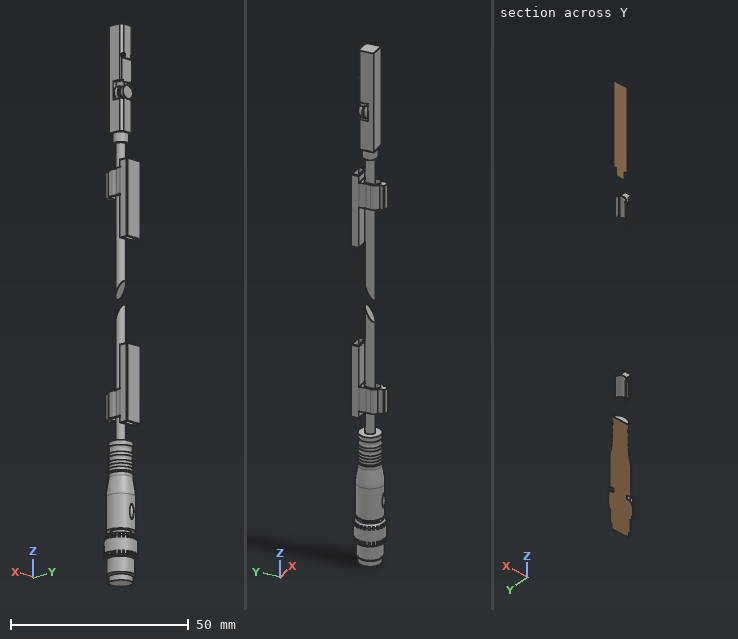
import cadquery as cq
import math


OVERALL_LENGTH = 162.9
CABLE_DIAMETER = 3.0
CABLE_CUT_DROP = 5.0

SENSOR_WIDTH = 5.0
SENSOR_LENGTH = 31.5
SENSOR_FRONT = 2.3
SENSOR_BACK = 2.6
BACK_CHAMFER_ACROSS = 1.0
BACK_CHAMFER_DEEP = 0.62
COLLAR_DIAMETER = 4.5
COLLAR_LENGTH = 3.0
SENSOR_CABLE_TIP = 83.0
BACK_RECESS_DEPTH = 0.3
BACK_RECESS_BOTTOM = 146.0
BACK_RECESS_TOP = 153.0
LAMP_DIAMETER = 1.0
LAMP_PROUD = 0.25
LAMP_SPACING = 3.5
LAMP_HEIGHT = 153.8
SCREW_HEAD_DIAMETER = 4.0
SCREW_GROOVE_DIAMETER = 3.5
SCREW_BASE_DIAMETER = 4.5
SCREW_GROOVE_WIDTH = 0.5
SCREW_GROOVE_BACK = 1.5
SCREW_HEIGHT = 143.2
SCREW_PROUD = 0.2
POCKET_BOTTOM = 141.0
POCKET_TOP = 146.5
POCKET_DEPTH = 1.1
POCKET_FLOOR = -0.5

CLIP_DEPTH = 10.3
SLEEVE_WIDTH = 5.4
SLEEVE_DEPTH = 3.0
SLEEVE_LENGTH = 22.8
SLEEVE_WALL = 0.5
SLEEVE_BEVEL_ACROSS = 0.2
SLEEVE_BEVEL_DEEP = 0.5
LOOP_HEIGHT = 7.8
LOOP_END_GAP = 2.1
LOOP_RADIUS = 2.5
LOOP_OFFSET = 1.5
BELLY_POINT_ANGLE = 20.0
LOOP_BORE = 3.5
WAIST_BACK = 0.3
WAIST_FRONT = -1.1
WAIST_HALF_WIDTH = 2.3
NOSE_WIDTH = 2.5
NOSE_BEVEL_ACROSS = 0.2
NOSE_BEVEL_DEEP = 0.5
SLIT_WIDTH = 0.5
SENSOR_CLIP_TOP = 123.0
PLUG_CLIP_BOTTOM = 46.1

PLUG_CABLE_TIP = 81.3
GRIP_TOP = 41.0
RIB_DIAMETER = 7.0
GROOVE_DEPTH_RATIO = 0.12
GROOVES = [(39.6, 37.6), (36.7, 35.2), (34.2, 33.2), (32.3, 31.8)]
GRIP_BOTTOM = 30.8
FLARE_START = (0.2, -1)
FLARE_END = (0, -1)
BODY_TOP = 25.2
BODY_BOTTOM = 15.0
BODY_DIAMETER = 8.5
NECK_DIAMETER = 5.9
RING_TOP = 13.8
RING_BOTTOM = 6.8
RING_DIAMETER = 9.6
RING_TOP_CHAMFER = 1.0
RING_BOTTOM_CHAMFER = 0.5
NOTCH_COUNT = 24
NOTCH_WIDTH = 0.5
NOTCH_DEPTH = 0.3
NOTCH_HEIGHT = 1.5
SHELL_DIAMETER = 8.0
SHELL_BOTTOM = 2.3
TIP_TOP = 1.8
TIP_DIAMETER = 7.0
MARK_WIDTH = 1.6
MARK_LENGTH = 5.4
MARK_HEIGHT = 20.2
MARK_REACH = 9.6


def box_between(x_range, y_range, z_range):
    """Box given by its lowest and highest X, Y and Z."""
    spans = [high - low for low, high in (x_range, y_range, z_range)]
    return cq.Workplane("XY").box(*spans, centered=False).translate((x_range[0], y_range[0], z_range[0]))


def rod_along_y(diameter, y_range, x, z):
    """Cylinder parallel to Y."""
    start, end = y_range
    return cq.Workplane("XZ", origin=(x, start, z)).circle(diameter / 2).extrude(start - end)


def cable(z_fixed, tip):
    """Cable from z_fixed to a slanted end; tip is the Z of the end's furthest point."""
    radius = CABLE_DIAMETER / 2
    if tip > z_fixed:
        end_back, end_front = tip, tip - CABLE_CUT_DROP
    else:
        end_back, end_front = tip + CABLE_CUT_DROP, tip
    rod = cq.Workplane("XY", origin=(0, 0, min(z_fixed, tip))).circle(radius).extrude(abs(tip - z_fixed))
    side_outline = [(radius, z_fixed), (radius, end_back), (-radius, end_front), (-radius, z_fixed)]
    keep = cq.Workplane("YZ").polyline(side_outline).close().extrude(radius, both=True)
    return rod.intersect(keep)


def make_sensor():
    half = SENSOR_WIDTH / 2
    bottom = OVERALL_LENGTH - SENSOR_LENGTH
    collar_bottom = bottom - COLLAR_LENGTH

    chamfer_start = SENSOR_BACK - BACK_CHAMFER_DEEP
    back_half = half - BACK_CHAMFER_ACROSS
    outline = [
        (-half, -SENSOR_FRONT),
        (half, -SENSOR_FRONT),
        (half, chamfer_start),
        (back_half, SENSOR_BACK),
        (-back_half, SENSOR_BACK),
        (-half, chamfer_start),
    ]
    bar = cq.Workplane("XY", origin=(0, 0, bottom)).polyline(outline).close().extrude(SENSOR_LENGTH)

    recess_y = (SENSOR_BACK - BACK_RECESS_DEPTH, SENSOR_BACK)
    bar = bar.cut(box_between((-half, half), recess_y, (BACK_RECESS_BOTTOM, BACK_RECESS_TOP)))

    for x_range in ((-half, -half + POCKET_DEPTH), (half - POCKET_DEPTH, half)):
        bar = bar.cut(box_between(x_range, (POCKET_FLOOR, SENSOR_BACK), (POCKET_BOTTOM, POCKET_TOP)))
    groove_front = SCREW_GROOVE_BACK - SCREW_GROOVE_WIDTH
    screw_back = SENSOR_BACK + SCREW_PROUD
    for diameter, y_range in (
        (SCREW_BASE_DIAMETER, (POCKET_FLOOR, groove_front)),
        (SCREW_GROOVE_DIAMETER, (groove_front, SCREW_GROOVE_BACK)),
        (SCREW_HEAD_DIAMETER, (SCREW_GROOVE_BACK, screw_back)),
    ):
        bar = bar.union(rod_along_y(diameter, y_range, 0, SCREW_HEIGHT))

    for x in (-LAMP_SPACING / 2, LAMP_SPACING / 2):
        bar = bar.union(rod_along_y(LAMP_DIAMETER, (0, SENSOR_BACK + LAMP_PROUD), x, LAMP_HEIGHT))

    collar = (
        cq.Workplane("XY", origin=(0, 0, collar_bottom))
        .circle(COLLAR_DIAMETER / 2)
        .extrude(COLLAR_LENGTH)
    )
    return bar.union(collar).union(cable(collar_bottom, SENSOR_CABLE_TIP))


def make_clip():
    """Clip with its sleeve's top at Z = 0 and its loop near that end."""
    back = CLIP_DEPTH / 2
    front = -back
    half = SLEEVE_WIDTH / 2
    sleeve_front = back - SLEEVE_DEPTH

    back_half = half - SLEEVE_BEVEL_ACROSS
    bevel_start = back - SLEEVE_BEVEL_DEEP
    outline = [
        (-half, sleeve_front),
        (half, sleeve_front),
        (half, bevel_start),
        (back_half, back),
        (-back_half, back),
        (-half, bevel_start),
    ]
    sleeve = cq.Workplane("XY").polyline(outline).close().extrude(-SLEEVE_LENGTH)
    inside = (-half + SLEEVE_WALL, half - SLEEVE_WALL)
    sleeve = sleeve.cut(
        box_between(inside, (sleeve_front + SLEEVE_WALL, back - SLEEVE_WALL), (-SLEEVE_LENGTH, 0))
    )

    nose_half = NOSE_WIDTH / 2
    belly_start_x = math.sqrt(LOOP_RADIUS**2 - (WAIST_FRONT + LOOP_OFFSET) ** 2)
    nose_root = -LOOP_OFFSET - math.sqrt(LOOP_RADIUS**2 - nose_half**2)
    belly_angle = math.radians(BELLY_POINT_ANGLE)
    belly_mid_x = LOOP_RADIUS * math.cos(belly_angle)
    belly_mid_y = -LOOP_OFFSET - LOOP_RADIUS * math.sin(belly_angle)
    waist_mid = (WAIST_BACK + WAIST_FRONT) / 2
    loop = (
        cq.Workplane("XY")
        .moveTo(half, sleeve_front)
        .lineTo(-half, sleeve_front)
        .lineTo(-WAIST_HALF_WIDTH, WAIST_BACK)
        .threePointArc((-WAIST_HALF_WIDTH, waist_mid), (-belly_start_x, WAIST_FRONT))
        .threePointArc((-belly_mid_x, belly_mid_y), (-nose_half, nose_root))
        .lineTo(-nose_half, front + NOSE_BEVEL_DEEP)
        .lineTo(-nose_half + NOSE_BEVEL_ACROSS, front)
        .lineTo(nose_half - NOSE_BEVEL_ACROSS, front)
        .lineTo(nose_half, front + NOSE_BEVEL_DEEP)
        .lineTo(nose_half, nose_root)
        .threePointArc((belly_mid_x, belly_mid_y), (belly_start_x, WAIST_FRONT))
        .threePointArc((WAIST_HALF_WIDTH, waist_mid), (WAIST_HALF_WIDTH, WAIST_BACK))
        .close()
        .extrude(-LOOP_HEIGHT)
    )

    bore = (
        cq.Workplane("XY", origin=(0, -LOOP_OFFSET / 2, 0))
        .slot2D(LOOP_BORE + LOOP_OFFSET, LOOP_BORE, 90)
        .extrude(-LOOP_HEIGHT)
    )
    slit = box_between((nose_half, nose_half + SLIT_WIDTH), (front, -LOOP_OFFSET), (-LOOP_HEIGHT, 0))
    loop = loop.cut(bore).cut(slit).translate((0, 0, -LOOP_END_GAP))
    return sleeve.union(loop)


def make_plug():
    rib = RIB_DIAMETER / 2
    body = BODY_DIAMETER / 2
    neck = NECK_DIAMETER / 2
    ring = RING_DIAMETER / 2
    shell = SHELL_DIAMETER / 2
    tip = TIP_DIAMETER / 2

    profile = cq.Workplane("XZ").moveTo(0, GRIP_TOP).lineTo(rib, GRIP_TOP)
    for groove_top, groove_bottom in GROOVES:
        depth = GROOVE_DEPTH_RATIO * (groove_top - groove_bottom)
        middle = (groove_top + groove_bottom) / 2
        profile = (
            profile.lineTo(rib, groove_top)
            .threePointArc((rib - depth, middle), (rib, groove_bottom))
        )
    profile = (
        profile.lineTo(rib, GRIP_BOTTOM)
        .spline([(body, BODY_TOP)], tangents=[FLARE_START, FLARE_END], includeCurrent=True)
        .lineTo(body, BODY_BOTTOM)
        .lineTo(neck, BODY_BOTTOM)
        .lineTo(neck, RING_TOP)
        .lineTo(ring - RING_TOP_CHAMFER, RING_TOP)
        .lineTo(ring, RING_TOP - RING_TOP_CHAMFER)
        .lineTo(ring, RING_BOTTOM + RING_BOTTOM_CHAMFER)
        .lineTo(ring - RING_BOTTOM_CHAMFER, RING_BOTTOM)
        .lineTo(shell, RING_BOTTOM)
        .lineTo(shell, SHELL_BOTTOM)
        .lineTo(tip, TIP_TOP)
        .lineTo(tip, 0)
        .lineTo(0, 0)
        .close()
    )
    plug = profile.revolve(360, (0, 0, 0), (0, 1, 0))

    notch_pitch = 360 / NOTCH_COUNT
    notch_x = (ring - NOTCH_DEPTH, ring)
    notch_y = (-NOTCH_WIDTH / 2, NOTCH_WIDTH / 2)
    for notch_z in ((RING_TOP - NOTCH_HEIGHT, RING_TOP), (RING_BOTTOM, RING_BOTTOM + NOTCH_HEIGHT)):
        notch = box_between(notch_x, notch_y, notch_z)
        for index in range(NOTCH_COUNT):
            angle = (index + 1 / 2) * notch_pitch
            plug = plug.cut(notch.rotate((0, 0, 0), (0, 0, 1), angle))

    mark = (
        cq.Workplane("XZ")
        .moveTo(0, -MARK_LENGTH / 2)
        .threePointArc((MARK_WIDTH / 2, 0), (0, MARK_LENGTH / 2))
        .close()
        .revolve(360, (0, 0, 0), (0, 1, 0))
    )
    mark_y = (MARK_REACH - MARK_WIDTH) / 2
    for y in (-mark_y, mark_y):
        plug = plug.union(mark.translate((0, y, MARK_HEIGHT)))

    return plug.union(cable(GRIP_TOP, PLUG_CABLE_TIP))


sensor = make_sensor()
plug = make_plug()

clips = []
for sleeve_end, turn in ((SENSOR_CLIP_TOP, 0), (PLUG_CLIP_BOTTOM, 180)):
    clip = make_clip().rotate((0, 0, 0), (0, 1, 0), turn).translate((0, 0, sleeve_end))
    clips.append(clip.val())

result = cq.Compound.makeCompound([sensor.val(), plug.val(), *clips])